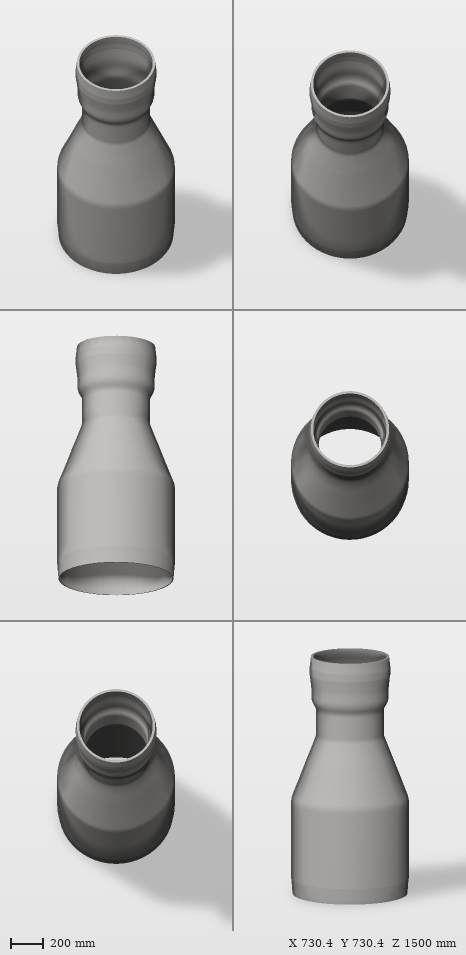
import cadquery as cq
import math

TOTAL_HEIGHT = 1500.0
NECK_RADIUS = 210.0
BARREL_RADIUS = 365.2
UPPER_WALL = 15.0
BARREL_BORE_RADIUS = 348.8

MOUTH_RADIUS = 243.0
BULGE_RADIUS = 250.0
SEAT_RADIUS = 240.0
BULGE_TOP_Z = 1434.0
BULGE_BOTTOM_Z = 1386.0
SEAT_TOP_Z = 1305.0
SEAT_BOTTOM_Z = 1216.0
NECK_TOP_Z = 1175.0

CONE_TOP_Z = 1000.0
SEAM_Z = 850.0
CONE_BOTTOM_Z = 602.0

LEAD_IN_HEIGHT = 99.0
FOOT_RADIUS = 357.0

SEAT_TOP_BLEND = 14.2
SEAT_BOTTOM_BLEND = 32.0
CONE_TOP_BLEND = 12.0
CONE_BOTTOM_BLEND = 20.0

BORE_SEAT_RISE = 5.0

SHARP = 0.0
TOUCHING = 1.5e-05

NECK_TOP_BLEND = math.hypot(SEAT_RADIUS - NECK_RADIUS, SEAT_BOTTOM_Z - NECK_TOP_Z) - SEAT_BOTTOM_BLEND


def point_toward(start, target, distance):
    """Point at a distance from start along the line to target."""
    fraction = distance / math.dist(start, target)
    return tuple(s + fraction * (t - s) for s, t in zip(start, target))


def solid_of_revolution(corners):
    """Revolve corners (radius, z, blend), ordered from top to bottom, around Z."""
    points = [(radius, z) for radius, z, _ in corners]
    profile = cq.Workplane("XZ").moveTo(0, points[0][1]).lineTo(*points[0])
    last_point = points[0]
    for index in range(1, len(corners)):
        blend = corners[index][2]
        if blend == SHARP:
            profile = profile.lineTo(*points[index])
            last_point = points[index]
        else:
            arc_start = point_toward(points[index], points[index - 1], blend)
            arc_end = point_toward(points[index], points[index + 1], blend)
            if math.dist(last_point, arc_start) > TOUCHING:
                profile = profile.lineTo(*arc_start)
            profile = profile.tangentArcPoint(arc_end, relative=False)
            last_point = arc_end
    profile = profile.lineTo(0, points[-1][1]).close()
    return profile.revolve(360, (0, 0, 0), (0, 1, 0))


def seam_radius(neck_radius, barrel_radius):
    """Radius where the cone between neck and barrel crosses the seam."""
    fraction = (CONE_TOP_Z - SEAM_Z) / (CONE_TOP_Z - CONE_BOTTOM_Z)
    return neck_radius + fraction * (barrel_radius - neck_radius)


NECK_BORE_RADIUS = NECK_RADIUS - UPPER_WALL
OUTER_SEAM_RADIUS = seam_radius(NECK_RADIUS, BARREL_RADIUS)
INNER_SEAM_RADIUS = seam_radius(NECK_BORE_RADIUS, BARREL_BORE_RADIUS)


def socket_corners(inset, seat_rise, cone_end_radius):
    """Surface from the mouth down to the seam, moved inward by inset, with a longer upper seat arc."""
    return [
        (MOUTH_RADIUS - inset, TOTAL_HEIGHT, SHARP),
        (BULGE_RADIUS - inset, BULGE_TOP_Z, SHARP),
        (BULGE_RADIUS - inset, BULGE_BOTTOM_Z, SHARP),
        (SEAT_RADIUS - inset, SEAT_TOP_Z + seat_rise, SEAT_TOP_BLEND + seat_rise),
        (SEAT_RADIUS - inset, SEAT_BOTTOM_Z, SEAT_BOTTOM_BLEND),
        (NECK_RADIUS - inset, NECK_TOP_Z, NECK_TOP_BLEND),
        (NECK_RADIUS - inset, CONE_TOP_Z, CONE_TOP_BLEND),
        (cone_end_radius, SEAM_Z, SHARP),
    ]


def make_socket():
    """Upper body: socket, neck and the upper part of the cone."""
    outside = solid_of_revolution(socket_corners(0, 0, OUTER_SEAM_RADIUS))
    bore = solid_of_revolution(socket_corners(UPPER_WALL, BORE_SEAT_RISE, INNER_SEAM_RADIUS))
    return outside.cut(bore)


def make_barrel():
    """Lower body: the rest of the cone, the barrel and its tapered foot."""
    outside = solid_of_revolution([
        (OUTER_SEAM_RADIUS, SEAM_Z, SHARP),
        (BARREL_RADIUS, CONE_BOTTOM_Z, CONE_BOTTOM_BLEND),
        (BARREL_RADIUS, LEAD_IN_HEIGHT, SHARP),
        (FOOT_RADIUS, 0, SHARP),
    ])
    bore = solid_of_revolution([
        (INNER_SEAM_RADIUS, SEAM_Z, SHARP),
        (BARREL_BORE_RADIUS, CONE_BOTTOM_Z, CONE_BOTTOM_BLEND),
        (BARREL_BORE_RADIUS, 0, SHARP),
    ])
    return outside.cut(bore)


socket = make_socket()
barrel = make_barrel()
result = cq.Compound.makeCompound([socket.val(), barrel.val()])